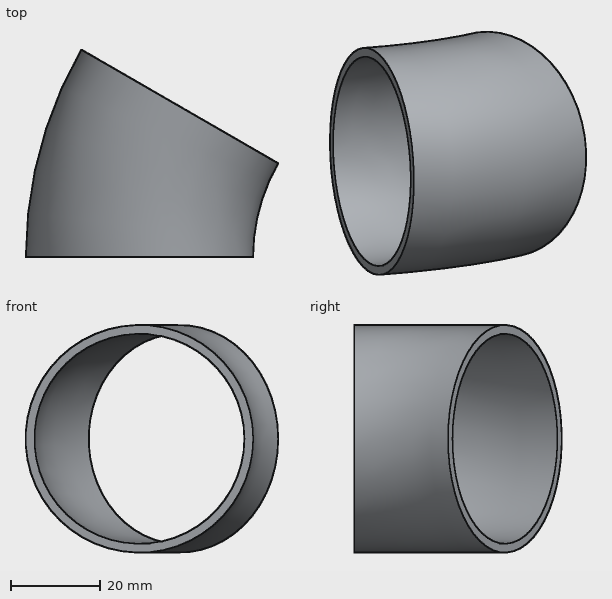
import cadquery as cq

outer_diameter = 51.0
wall_thickness = 2.0
bend_radius = 67.5
bend_angle = 30.0

inner_diameter = outer_diameter - 2 * wall_thickness


def pipe_elbow():
    """Pipe bend that starts at the origin along +Y and curves towards +X."""
    ring_section = (
        cq.Workplane("XZ")
        .circle(outer_diameter / 2)
        .circle(inner_diameter / 2)
    )
    axis_start = (bend_radius, 0)
    axis_end = (bend_radius, -1)
    return ring_section.revolve(bend_angle, axis_start, axis_end)


result = pipe_elbow()